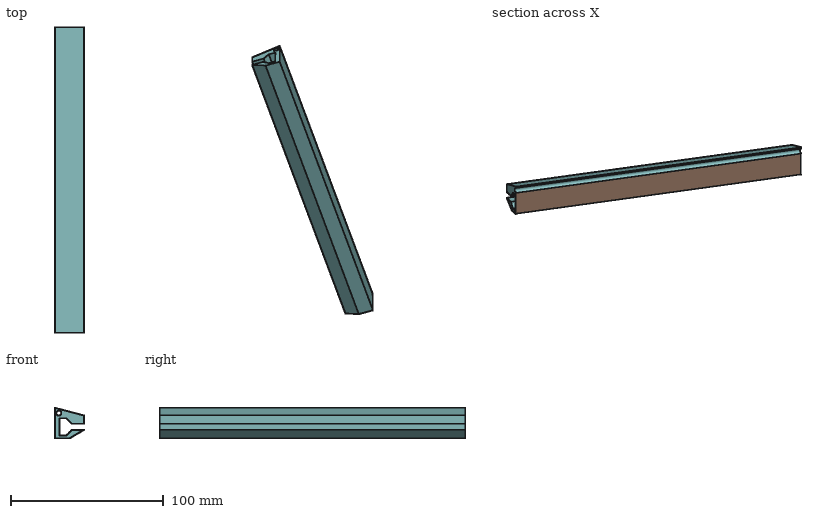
import cadquery as cq

width = 19.0
length = 200.0
height = 20.0

front_lip_top = 15.0
flat_bottom_width = 9.7

back_wall = 3.0
floor_thickness = 2.0
cavity_top = 13.0
cavity_flat_width = 4.5
throat_start = 11.0
throat_bottom = 5.5
throat_top = 9.5

bore_diameter = 3.16
bore_x = 2.5
bore_z = 16.5


def make_strip():
    """C-shaped cross-section in the XZ plane, extruded along +Y."""
    cavity_flat_end = back_wall + cavity_flat_width
    outline = [
        (0, 0),
        (flat_bottom_width, 0),
        (width, throat_bottom),
        (throat_start, throat_bottom),
        (cavity_flat_end, floor_thickness),
        (back_wall, floor_thickness),
        (back_wall, cavity_top),
        (cavity_flat_end, cavity_top),
        (throat_start, throat_top),
        (width, throat_top),
        (width, front_lip_top),
        (0, height),
    ]
    return cq.Workplane("XZ").polyline(outline).close().extrude(-length)


def make_bore():
    """Cylinder that runs the full length of the strip."""
    return (
        cq.Workplane("XZ")
        .center(bore_x, bore_z)
        .circle(bore_diameter / 2)
        .extrude(-length)
    )


result = make_strip().cut(make_bore())